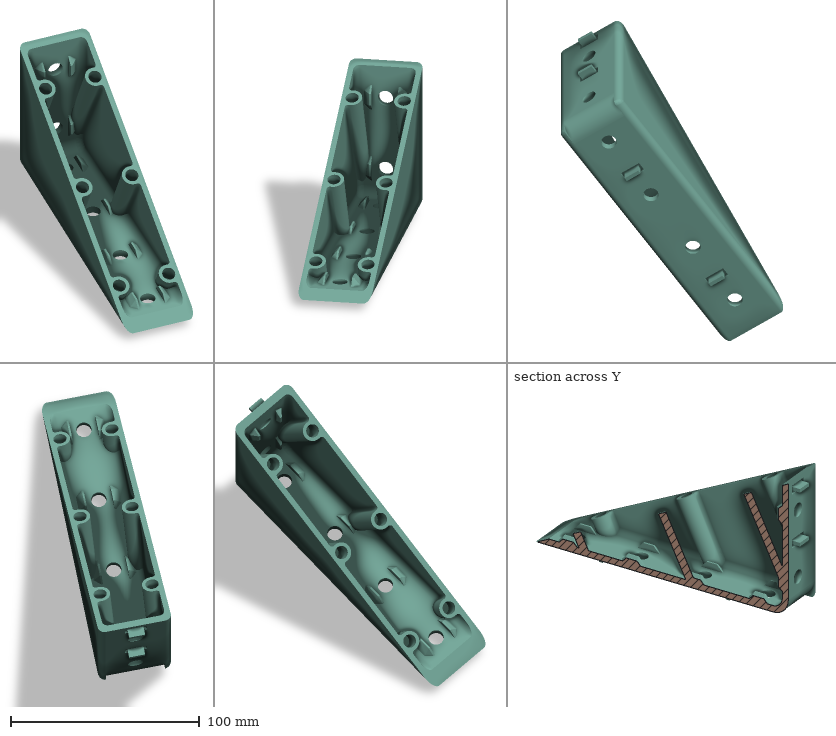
import cadquery as cq
import math

LOCATOR_HEIGHT = 4.0
LENGTH = 163 - LOCATOR_HEIGHT
HEIGHT = 83.5 - LOCATOR_HEIGHT
WIDTH = 39.5
EDGE_RADIUS = 3.7
HEEL_RADIUS = 9.8
LEG_TIP_RADIUS = 2.0

WALL = 4.0
SIDE_WALL = 3.0
DRAFT_ANGLE = 2.0
CAVITY_RADIUS = 3.3

BOSS_RADIUS = 5.4
BOSS_ROOT_RADIUS = 1.6
BOSS_Y = 14.0
BOSS_PAIR = [(0, BOSS_Y), (0, -BOSS_Y)]
WEB_REACH = WIDTH / 2 - BOSS_Y
WEB_PAIR = [(0, BOSS_Y + WEB_REACH / 2), (0, -BOSS_Y - WEB_REACH / 2)]
BOSS_FIRST_X = 25.8
BOSS_PITCH_X = 53.8
BOSS_HOLE_DIAMETER = 7.0
BOSS_HOLE_DEPTHS = [16.3, 16.3, 11.9]

HOLE_DIAMETER = 8.2
HOLE_PITCH = 40.0
FLOOR_HOLES = [18.9 + i * HOLE_PITCH for i in range(4)]
WALL_HOLES = [19.5 + i * HOLE_PITCH for i in range(2)]
PAD_HEIGHT = 3.9
PAD_FOOT = 6.8
PAD_TOP = 3.3
PAD_SLOPE_FOOT = 3.7
PAD_INNER = 7.2
PAD_RIDGE = 8.2
PAD_OUTER = 11.5

TAB_LENGTH = 8.6
TAB_THICKNESS = 2.1
RECESS_LENGTH = 11.7
RECESS_WIDTH = 5.2
RECESS_DEPTH = 1.5
FLOOR_TABS = [41.4, 121.3]
WALL_TABS = [41.7, 73.8]

SLOPE_LENGTH = math.hypot(LENGTH, HEIGHT)
SLOPE_NORMAL = cq.Vector(HEIGHT / SLOPE_LENGTH, 0, LENGTH / SLOPE_LENGTH)
SLOPE_PLANE = cq.Plane(origin=(0, 0, HEIGHT), xDir=(LENGTH, 0, -HEIGHT), normal=SLOPE_NORMAL.toTuple())
FLOOR_PLANE = cq.Plane(origin=(0, 0, 0), xDir=(1, 0, 0), normal=(0, 0, 1))
WALL_PLANE = cq.Plane(origin=(0, 0, 0), xDir=(0, 0, 1), normal=(1, 0, 0))
MOUNTING_FACES = [
    (FLOOR_PLANE, FLOOR_HOLES, FLOOR_TABS),
    (WALL_PLANE, WALL_HOLES, WALL_TABS),
]


def wedge(inset, heel_radius):
    """Wedge under the sloping face, inset from the two mounting faces, heel rounded."""
    slope = HEIGHT / LENGTH
    top = HEIGHT - inset * slope
    tip = LENGTH - inset / slope
    outline = cq.Workplane("XZ").moveTo(inset, inset).lineTo(tip, inset).lineTo(inset, top).close()
    prism = outline.extrude(WIDTH / 2, both=True)
    heel_edge = cq.selectors.NearestToPointSelector((inset, 0, inset))
    return prism.edges(heel_edge).fillet(heel_radius)


def outer_body():
    """Outer wedge: side edges rounded, heel rounded between two corner legs."""
    body = wedge(0, LEG_TIP_RADIUS)
    body = body.edges("|X or |Z").fillet(EDGE_RADIUS)
    heel_width = WIDTH - 2 * EDGE_RADIUS
    heel_block = cq.Workplane().box(HEEL_RADIUS, heel_width, HEEL_RADIUS, centered=(False, True, False))
    return body.cut(heel_block.cut(wedge(0, HEEL_RADIUS)))


def boss_plane(index):
    """Sketch plane on the sloping face, centred between a pair of bosses."""
    x = BOSS_FIRST_X + index * BOSS_PITCH_X
    return cq.Workplane(SLOPE_PLANE).center(x * SLOPE_LENGTH / LENGTH, 0)


def bosses():
    """Round bosses, each joined straight out to the nearest side wall."""
    group = cq.Workplane()
    for index in range(len(BOSS_HOLE_DEPTHS)):
        plane = boss_plane(index)
        group = group.union(plane.pushPoints(BOSS_PAIR).circle(BOSS_RADIUS).extrude(-HEIGHT))
        group = group.union(plane.pushPoints(WEB_PAIR).rect(2 * BOSS_RADIUS, WEB_REACH).extrude(-HEIGHT))
    return group


def cavity():
    """Hollow inside: drafted side walls, rounded edges, bosses left standing."""
    drafted = (
        cq.Workplane(SLOPE_PLANE)
        .center(SLOPE_LENGTH / 2, 0)
        .rect(2 * SLOPE_LENGTH, WIDTH - 2 * SIDE_WALL)
        .extrude(-HEIGHT, taper=DRAFT_ANGLE)
    )
    hollow = wedge(WALL, HEEL_RADIUS - WALL).intersect(drafted)
    hollow = hollow.edges().filter(is_cavity_side_edge).fillet(CAVITY_RADIUS)
    around_bosses = drafted.cut(bosses()).edges().filter(is_boss_root_edge).fillet(BOSS_ROOT_RADIUS)
    return hollow.intersect(around_bosses)


def is_cavity_side_edge(edge):
    """True for edges between a side wall and the floor, heel or end wall of the cavity."""
    middle = edge.positionAt(0.5)
    below_slope = HEIGHT * (1 - middle.x / LENGTH) - middle.z
    return abs(middle.y) > BOSS_Y / 2 and below_slope > WALL / 2


def is_boss_root_edge(edge):
    """True for straight edges running down a side wall beside a boss."""
    tilt = edge.tangentAt(0.5).getAngle(SLOPE_NORMAL)
    runs_down = abs(math.sin(tilt)) < math.sin(math.radians(2 * DRAFT_ANGLE))
    return edge.geomType() == "LINE" and runs_down and abs(edge.positionAt(0.5).y) > BOSS_Y


def polyhedron(faces):
    """Solid bounded by flat polygons, each given by its corners in order."""
    polygons = [cq.Face.makeFromWires(cq.Wire.makePolygon(face, close=True)) for face in faces]
    return cq.Solid.makeSolid(cq.Shell.makeShell(polygons))


def pad(side):
    """Raised pad beside a bolt hole: upright toward the hole, sloping on the other sides."""
    inner, ridge, outer = side * PAD_INNER, side * PAD_RIDGE, side * PAD_OUTER

    def mirrored(x, y, z):
        """Left and right corner of a pair."""
        return cq.Vector(-x, y, z), cq.Vector(x, y, z)

    foot_in = mirrored(PAD_FOOT, inner, 0)
    foot_mid = mirrored(PAD_FOOT, ridge, 0)
    foot_out = mirrored(PAD_SLOPE_FOOT, outer, 0)
    top_in = mirrored(PAD_TOP, inner, PAD_HEIGHT)
    top_out = mirrored(PAD_TOP, ridge, PAD_HEIGHT)
    faces = [
        [*foot_in, foot_mid[1], *reversed(foot_out), foot_mid[0]],
        [*top_in, *reversed(top_out)],
        [*foot_in, *reversed(top_in)],
        [*foot_out, *reversed(top_out)],
    ]
    for end in (0, 1):
        faces.append([foot_in[end], foot_mid[end], top_out[end], top_in[end]])
        faces.append([foot_mid[end], foot_out[end], top_out[end]])
    return polyhedron(faces)


def add_pads(body):
    """Pads on both sides of every bolt hole, inside the floor and the end wall."""
    for plane, holes, _ in MOUNTING_FACES:
        inside = cq.Workplane(plane).workplane(offset=WALL)
        for side in (1, -1):
            for hole in holes:
                location = inside.plane.location * cq.Location(cq.Vector(hole, 0, 0))
                body = body.union(cq.Workplane(pad(side).located(location)))
    return body


def cut_holes(body):
    """Bolt holes through the mounting faces and blind screw holes in the bosses."""
    for plane, holes, _ in MOUNTING_FACES:
        points = [(hole, 0) for hole in holes]
        bolt_holes = cq.Workplane(plane).pushPoints(points).circle(HOLE_DIAMETER / 2)
        body = body.cut(bolt_holes.extrude(WALL))
    for index, depth in enumerate(BOSS_HOLE_DEPTHS):
        screw_holes = boss_plane(index).pushPoints(BOSS_PAIR).circle(BOSS_HOLE_DIAMETER / 2)
        body = body.cut(screw_holes.extrude(-depth))
    return body


def add_locating_tabs(body):
    """Tabs standing proud of the mounting faces, each rising from its recess."""
    for plane, _, tabs in MOUNTING_FACES:
        points = [(tab, 0) for tab in tabs]
        face = cq.Workplane(plane).pushPoints(points)
        body = body.cut(face.rect(RECESS_WIDTH, RECESS_LENGTH).extrude(RECESS_DEPTH))
        tab_base = cq.Workplane(plane).workplane(offset=RECESS_DEPTH).pushPoints(points)
        tab_solids = tab_base.rect(TAB_THICKNESS, TAB_LENGTH).extrude(-RECESS_DEPTH - LOCATOR_HEIGHT)
        body = body.union(tab_solids)
    return body


shell = outer_body().cut(cavity())
result = add_locating_tabs(cut_holes(add_pads(shell)))